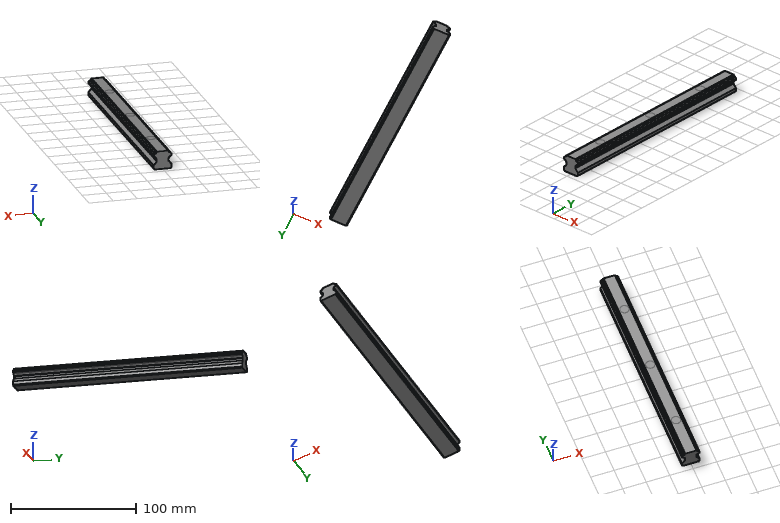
import cadquery as cq

length = 190
width = 15.0
height = 15.0
half_width = width / 2

top_half_width = 4.8
top_bevel = 0.5
lip_bevel = 0.4
lip_top = 12.4
lip_bottom = 11.2

upper_raceway_drop = 1.05
lower_raceway_inner = (5.3, 9.0)
lower_raceway_outer = (6.6, 10.5)
raceway_depth = 0.28

web_half_width = 4.8
web_top = 8.4
web_bottom = 6.6
base_side_top = 3.6
base_chamfer = 1.0

plug_diameter = 7.5
plug_pitch = 60.0
plug_count = 3
plug_depth = 5.3


def raceway_middle(start, end):
    """Deepest point of a raceway, offset from its chord to the left of start -> end."""
    dx = end[0] - start[0]
    dz = end[1] - start[1]
    chord = (dx**2 + dz**2) ** 0.5
    return (
        (start[0] + end[0]) / 2 - dz / chord * raceway_depth,
        (start[1] + end[1]) / 2 + dx / chord * raceway_depth,
    )


def half_profile():
    """Right half of the rail section, from the bottom centre to the top centre."""
    upper_inner = (top_half_width + top_bevel, height - top_bevel)
    upper_outer = (upper_inner[0] + upper_raceway_drop, upper_inner[1] - upper_raceway_drop)
    return (
        cq.Workplane("XZ")
        .lineTo(half_width - base_chamfer, 0)
        .lineTo(half_width, base_chamfer)
        .lineTo(half_width, base_side_top)
        .lineTo(web_half_width, web_bottom)
        .lineTo(web_half_width, web_top)
        .lineTo(*lower_raceway_inner)
        .threePointArc(raceway_middle(lower_raceway_inner, lower_raceway_outer), lower_raceway_outer)
        .lineTo(half_width - lip_bevel, lip_bottom - lip_bevel)
        .lineTo(half_width, lip_bottom)
        .lineTo(half_width, lip_top)
        .lineTo(half_width - lip_bevel, lip_top + lip_bevel)
        .lineTo(*upper_outer)
        .threePointArc(raceway_middle(upper_outer, upper_inner), upper_inner)
        .lineTo(top_half_width, height)
        .lineTo(0, height)
    )


def make_plugs():
    return (
        cq.Workplane("XY", origin=(0, 0, height))
        .rarray(1.9, plug_pitch, 1, plug_count)
        .circle(plug_diameter / 2)
        .extrude(-plug_depth)
    )


rail = half_profile().mirrorY().extrude(length / 2, both=True)
plugs = make_plugs()

result = rail.cut(plugs).union(plugs, clean=False)